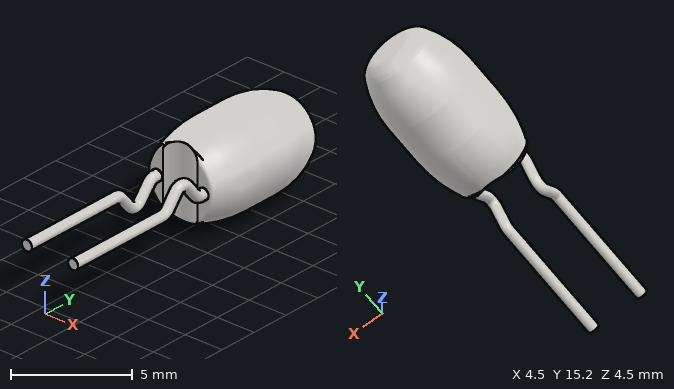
import cadquery as cq
import math

overall_length = 15.16

body_radius = 2.251
body_length = 6.99
band_start = 2.65
band_end = 4.47
back_bulge_radius = 4.55
back_fillet = 0.91
rim_radius = 1.8
rim_height = 0.18

channel_half_width = 0.94
channel_depth = 0.26

lead_spacing = 2.52
lead_diameter = 0.56
lead_embed = 0.76
crimp_start = 7.17
crimp_half_length = 1.205
crimp_height = 0.94
crimp_angle = math.radians(50)


def arc_drop(radius, run):
    """Inward fall of an arc after a run along its starting tangent."""
    return radius - math.sqrt(radius**2 - run**2)


def make_body():
    """Revolve the barrel outline around Y and round both ends."""
    back_run = band_start
    back_end = body_radius - arc_drop(back_bulge_radius, back_run)
    back_mid = body_radius - arc_drop(back_bulge_radius, back_run / 2)

    front_run = body_length - rim_height - band_end
    front_drop = body_radius - rim_radius
    front_bulge_radius = (front_run**2 + front_drop**2) / (2 * front_drop)
    front_mid = body_radius - arc_drop(front_bulge_radius, front_run / 2)

    rim_diagonal = rim_height * math.sqrt(0.5)
    rim_inner = rim_radius - rim_height

    outline = (
        cq.Workplane("XY")
        .moveTo(0, 0)
        .lineTo(back_end, 0)
        .threePointArc((back_mid, -back_run / 2), (body_radius, -band_start))
        .lineTo(body_radius, -band_end)
        .threePointArc(
            (front_mid, -band_end - front_run / 2),
            (rim_radius, -band_end - front_run),
        )
        .threePointArc(
            (rim_inner + rim_diagonal, -body_length + rim_height - rim_diagonal),
            (rim_inner, -body_length),
        )
        .lineTo(0, -body_length)
        .close()
    )
    body = outline.revolve(360, (0, 0, 0), (0, 1, 0))
    return body.faces(">Y").edges().fillet(back_fillet)


def make_channel():
    """Cylinder along Z that hollows the seating face between the leads."""
    radius = (channel_half_width**2 + channel_depth**2) / (2 * channel_depth)
    center_y = -body_length + channel_depth - radius
    return cq.Workplane("XY").center(0, center_y).circle(radius).extrude(body_radius, both=True)


def make_lead(x, side):
    """Straight wire with one crimp wave; side is +1 for a crimp toward +Z, -1 toward -Z."""
    sine = math.sin(crimp_angle)
    cosine = math.cos(crimp_angle)
    bend_radius = (crimp_half_length * sine - crimp_height * cosine) / (2 * (1 - cosine))
    bend_run = bend_radius * sine
    bend_rise = bend_radius * (1 - cosine)
    half_run = bend_radius * math.sin(crimp_angle / 2)
    half_rise = bend_radius * (1 - math.cos(crimp_angle / 2))
    apex = crimp_start + crimp_half_length
    crimp_end = apex + crimp_half_length

    def at(distance, height):
        return (-distance, side * height)

    path = (
        cq.Workplane("YZ", origin=(x, 0, 0))
        .moveTo(*at(body_length - lead_embed, 0))
        .lineTo(*at(crimp_start, 0))
        .threePointArc(at(crimp_start + half_run, half_rise), at(crimp_start + bend_run, bend_rise))
        .lineTo(*at(apex - bend_run, crimp_height - bend_rise))
        .threePointArc(at(apex, crimp_height), at(apex + bend_run, crimp_height - bend_rise))
        .lineTo(*at(crimp_end - bend_run, bend_rise))
        .threePointArc(at(crimp_end - half_run, half_rise), at(crimp_end, 0))
        .lineTo(*at(overall_length, 0))
    )
    section_plane = cq.Workplane("XZ", origin=(x, -body_length + lead_embed, 0))
    return section_plane.circle(lead_diameter / 2).sweep(path)


result = make_body().cut(make_channel())
for lead_side in (-1, 1):
    result = result.union(make_lead(lead_side * lead_spacing / 2, lead_side))